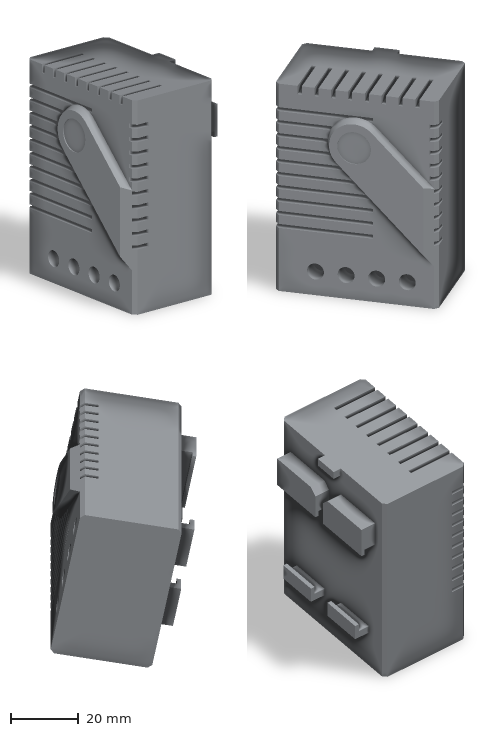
import cadquery as cq

width = 50.0
depth = 30.5
height = 67.0
edge_chamfer = 1.2

slot_width = 1.3
side_slot_count = 10
lowest_side_slot_z = 21.05
highest_side_slot_z = 58.75
side_slot_pitch = (highest_side_slot_z - lowest_side_slot_z) / (side_slot_count - 1)
side_slot_depth = 5.3
left_slot_end_x = 5.15
right_slot_start_x = 22.5
top_slot_count = 8
top_slot_pitch = 5.15
top_slot_centre_x = 0.7
top_slot_length = 15.2
top_slot_depth = 2.7

hole_count = 4
hole_pitch = 9.4
hole_row_centre_x = 1.55
hole_z = 7.65
hole_diameter = 5.15
hole_depth = 6.7

knob_z = 50.1
knob_radius = 8.85
knob_height = 2.5
knob_taper = 25.0
pointer_angle = -45.0
dial_diameter = 10.3
dial_depth = 0.35

tab_width = 7.65
tab_reach = 2.6
tab_thickness = 2.6
hook_reach = 5.0
upper_hook_top_z = 57.1
upper_hook_bottom_z = 48.8
upper_lip_bottom_z = 46.9
upper_lip_thickness = 1.2
upper_hook_inner_x = 1.9
upper_hook_outer_x = 20.45
upper_hook_chamfer = 2.15
lower_hook_bottom_z = 12.65
lower_hook_top_z = 15.15
lower_lip_top_z = 17.75
lower_lip_thickness = 1.35
lower_hook_inner_x = upper_hook_inner_x + upper_hook_chamfer
lower_hook_outer_x = 17.4


def block(x_range, y_range, z_range):
    """Box spanning the given (low, high) ranges."""
    sizes = [high - low for low, high in (x_range, y_range, z_range)]
    corner = (x_range[0], y_range[0], z_range[0])
    return cq.Workplane("XY").box(*sizes, centered=False).translate(corner)


def centred_positions(count, pitch, centre):
    return [centre + (i - (count - 1) / 2) * pitch for i in range(count)]


def front_plane(y=0.0):
    """Plane facing -Y, with local axes along X and Z."""
    return cq.Workplane("XZ", origin=(0, y, 0))


def make_housing():
    body = block((-width / 2, width / 2), (0, depth), (0, height))
    return body.edges("|Z").chamfer(edge_chamfer)


def cut_side_slots(body):
    """Slots that wrap the left front edge and nick the right front edge."""
    for i in range(side_slot_count):
        z = lowest_side_slot_z + i * side_slot_pitch
        z_range = (z - slot_width / 2, z + slot_width / 2)
        for x_range in ((-width / 2, left_slot_end_x), (right_slot_start_x, width / 2)):
            body = body.cut(block(x_range, (0, side_slot_depth), z_range))
    return body


def cut_top_slots(body):
    for x in centred_positions(top_slot_count, top_slot_pitch, top_slot_centre_x):
        x_range = (x - slot_width / 2, x + slot_width / 2)
        body = body.cut(block(x_range, (0, top_slot_length), (height - top_slot_depth, height)))
    return body


def cut_screw_holes(body):
    centres = [(x, hole_z) for x in centred_positions(hole_count, hole_pitch, hole_row_centre_x)]
    holes = front_plane().pushPoints(centres).circle(hole_diameter / 2).extrude(-hole_depth)
    return body.cut(holes)


def make_knob():
    """Tapered pointer, trimmed flush with the housing's right front chamfer."""
    arm_length = width
    pointer = (
        front_plane()
        .moveTo(arm_length, knob_radius)
        .lineTo(0, knob_radius)
        .threePointArc((-knob_radius, 0), (0, -knob_radius))
        .lineTo(arm_length, -knob_radius)
        .close()
        .extrude(knob_height, taper=knob_taper)
        .rotate((0, 0, 0), (0, -1, 0), pointer_angle)
        .translate((0, 0, knob_z))
    )
    chamfer_start_x = width / 2 - edge_chamfer
    trim = (
        cq.Workplane("XY")
        .moveTo(-width / 2, 0)
        .lineTo(chamfer_start_x, 0)
        .lineTo(chamfer_start_x - knob_height, -knob_height)
        .lineTo(-width / 2, -knob_height)
        .close()
        .extrude(height)
    )
    dial = front_plane(-knob_height).center(0, knob_z).circle(dial_diameter / 2).extrude(-dial_depth)
    return pointer.intersect(trim).cut(dial)


def make_hook(x_range, arm_z_range, lip_z_range, lip_thickness):
    """Arm standing off the back face, with a lip along its outer end."""
    back = depth + hook_reach
    arm = block(x_range, (depth, back), arm_z_range)
    return arm.union(block(x_range, (back - lip_thickness, back), lip_z_range))


def make_rail_mount():
    tab_z_range = (height - tab_thickness, height)
    tab = block((-tab_width / 2, tab_width / 2), (depth, depth + tab_reach), tab_z_range)
    upper = make_hook(
        (upper_hook_inner_x, upper_hook_outer_x),
        (upper_hook_bottom_z, upper_hook_top_z),
        (upper_lip_bottom_z, upper_hook_top_z),
        upper_lip_thickness,
    )
    upper = upper.faces(">Z").edges("<X").chamfer(upper_hook_chamfer)
    lower = make_hook(
        (lower_hook_inner_x, lower_hook_outer_x),
        (lower_hook_bottom_z, lower_hook_top_z),
        (lower_hook_bottom_z, lower_lip_top_z),
        lower_lip_thickness,
    )
    hooks = upper.union(lower)
    return [tab, hooks, hooks.mirror("YZ")]


result = cut_screw_holes(cut_top_slots(cut_side_slots(make_housing())))
result = result.union(make_knob())
for mount_piece in make_rail_mount():
    result = result.union(mount_piece)